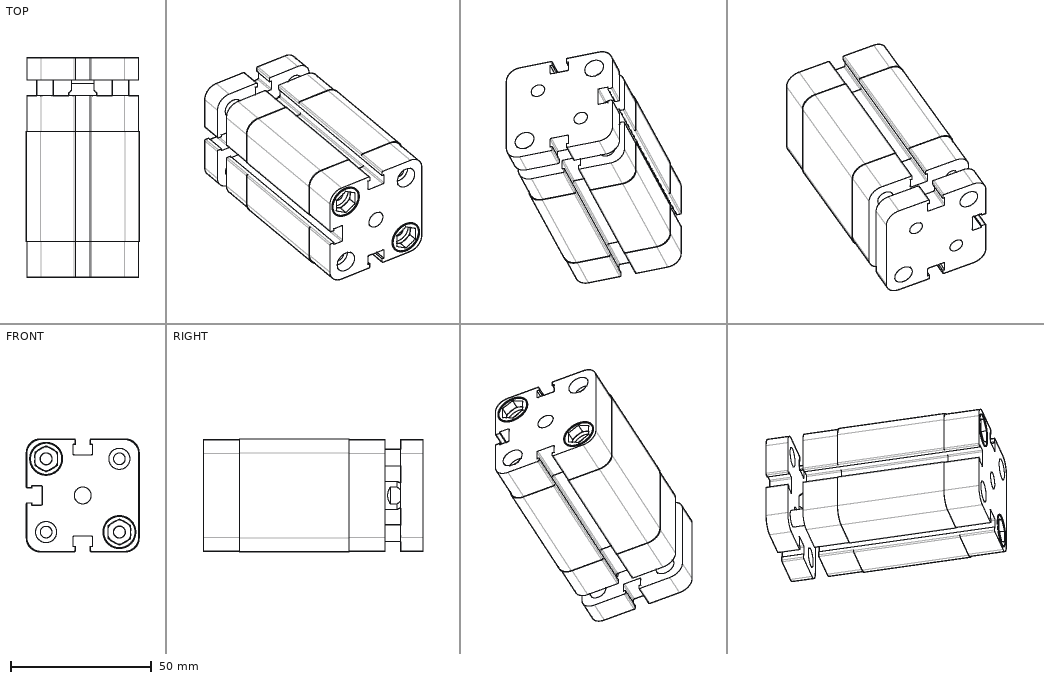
import cadquery as cq
import math

cap_length = 12.75
tube_length = 39.0
gap_length = 5.5
plate_thickness = 8.0
tube_start = cap_length
tube_end = tube_start + tube_length
body_end = tube_end + cap_length
plate_start = body_end + gap_length
plate_end = plate_start + plate_thickness

tube_width = 40.13
cap_width = 39.7
corner_radius = 5.0

slot_mouth = 5.3
slot_inner_width = 6.8
cap_slot_floor = 14.4
tube_slot_floor = 14.3
slot_lip_height = 18.1
slot_mouth_round = 0.45
slot_floor_round = 0.4
slot_angles = (0, 90, 180)

bolt_offset = 13.0
plug_corners = [(-bolt_offset, bolt_offset), (bolt_offset, -bolt_offset)]
plain_corners = [(bolt_offset, bolt_offset), (-bolt_offset, -bolt_offset)]
bolt_bore_diameter = 4.13
counterbore_diameter = 7.5
counterbore_depth = 4.4
plain_bore_depth = 12.0
groove_outer_diameter = 11.7
groove_inner_diameter = 11.1
groove_depth = 0.3
hex_across_flats = 8.0
hex_depth = 3.3
screw_bore_diameter = 8.5
screw_bore_end = 4.8

center_hole_diameter = 6.0
center_hole_depth = 6.0

plate_hole_diameter = 7.0
plate_pin_diameter = 5.0
plate_pin_offset = 8.0

rod_diameter = 10.0
rod_chamfer_length = 1.2
rod_chamfer_radial = 0.55
rod_across_flats = 8.0
flat_length = 3.6
flat_run_out = 1.0
guide_rod_diameter = 6.0
guide_rod_offset = 13.4


def section_plane(y):
    """Sketch plane across the part at station y: local x is X, local y is Z."""
    return cq.Workplane("XZ", origin=(0, y, 0))


def cylinder(points, diameter, start, end):
    return section_plane(start).pushPoints(points).circle(diameter / 2).extrude(start - end)


def slot_cutter(width, slot_floor, start, end):
    """Slot in the +Z face of a block of the given width, with rounded lips."""
    face = width / 2
    mouth = slot_mouth / 2
    inner = slot_inner_width / 2
    lip_round = slot_mouth_round
    floor_round = slot_floor_round
    mouth_edge = mouth + lip_round
    diagonal = math.sqrt(0.5)
    lip_middle = (mouth_edge - lip_round * diagonal, face - lip_round * (1 - diagonal))
    floor_middle = (
        inner - floor_round * (1 - diagonal),
        slot_floor + floor_round * (1 - diagonal),
    )
    half = (
        section_plane(start)
        .moveTo(0, face)
        .lineTo(mouth_edge, face)
        .threePointArc(lip_middle, (mouth, face - lip_round))
        .lineTo(mouth, slot_lip_height)
        .lineTo(inner, slot_lip_height)
        .lineTo(inner, slot_floor + floor_round)
        .threePointArc(floor_middle, (inner - floor_round, slot_floor))
        .lineTo(0, slot_floor)
        .close()
        .extrude(start - end)
    )
    return half.union(half.mirror("YZ"))


def slotted_block(width, slot_floor, start, end):
    """Square block with rounded corners and slots on the +Z, -X and -Z faces."""
    block = section_plane(start).rect(width, width).extrude(start - end).edges("|Y").fillet(corner_radius)
    cutter = slot_cutter(width, slot_floor, start, end)
    for angle in slot_angles:
        block = block.cut(cutter.rotate((0, 0, 0), (0, 1, 0), -angle))
    return block


def piston_rod():
    """Round rod with a tapered outer end and two flats that run out at 45 degrees."""
    radius = rod_diameter / 2
    rod = (
        cq.Workplane("XY")
        .moveTo(0, body_end)
        .lineTo(radius, body_end)
        .lineTo(radius, plate_start - rod_chamfer_length)
        .lineTo(radius - rod_chamfer_radial, plate_start)
        .lineTo(0, plate_start)
        .close()
        .revolve(360, (0, 0, 0), (0, 1, 0))
    )
    flat_x = rod_across_flats / 2
    flat_start = plate_start - flat_length
    flat = (
        cq.Workplane("XY")
        .moveTo(flat_x, plate_start)
        .lineTo(flat_x, flat_start)
        .lineTo(flat_x + flat_run_out, flat_start - flat_run_out)
        .lineTo(flat_x + flat_run_out, plate_start)
        .close()
        .extrude(radius, both=True)
    )
    return rod.cut(flat).cut(flat.mirror("YZ"))


def plug_cutter():
    """Ring groove, hexagon socket and bore of the plugged screw corners."""
    groove = cylinder(plug_corners, groove_outer_diameter, 0, groove_depth).cut(
        cylinder(plug_corners, groove_inner_diameter, 0, groove_depth)
    )
    hex_across_corners = hex_across_flats / math.cos(math.pi / 6)
    socket = (
        section_plane(0)
        .transformed(rotate=(0, 0, 90))
        .pushPoints([(z, -x) for x, z in plug_corners])
        .polygon(6, hex_across_corners)
        .extrude(-hex_depth)
    )
    bore = cylinder(plug_corners, screw_bore_diameter, hex_depth, screw_bore_end)
    through = cylinder(plug_corners, bolt_bore_diameter, 0, plate_start)
    plate_hole = cylinder(plug_corners, plate_hole_diameter, plate_start, plate_end)
    return groove.union(socket).union(bore).union(through).union(plate_hole)


def plain_corner_cutter():
    counterbore = cylinder(plain_corners, counterbore_diameter, 0, counterbore_depth)
    bore = cylinder(plain_corners, bolt_bore_diameter, 0, plain_bore_depth)
    return counterbore.union(bore)


def plate_pin_cutter():
    """Through holes in the plate, between the piston rod and each guide rod."""
    points = [(plate_pin_offset, plate_pin_offset), (-plate_pin_offset, -plate_pin_offset)]
    return cylinder(points, plate_pin_diameter, plate_start, plate_end)


def guide_rods():
    points = [(guide_rod_offset, guide_rod_offset), (-guide_rod_offset, -guide_rod_offset)]
    return cylinder(points, guide_rod_diameter, body_end, plate_start)


result = (
    slotted_block(cap_width, cap_slot_floor, 0, tube_start)
    .union(slotted_block(tube_width, tube_slot_floor, tube_start, tube_end))
    .union(slotted_block(cap_width, cap_slot_floor, tube_end, body_end))
    .union(slotted_block(cap_width, cap_slot_floor, plate_start, plate_end))
    .union(piston_rod())
    .union(guide_rods())
    .cut(plug_cutter())
    .cut(plain_corner_cutter())
    .cut(plate_pin_cutter())
    .cut(cylinder([(0, 0)], center_hole_diameter, 0, center_hole_depth))
)